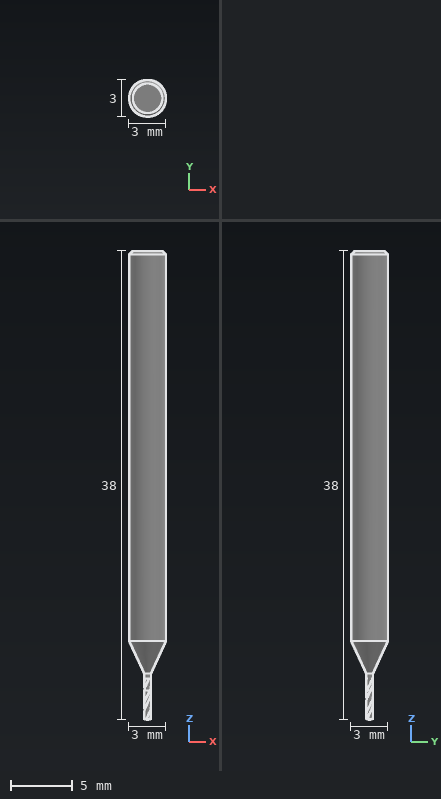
import cadquery as cq

full_turn = 360

total_length = 38.0
shank_diameter = 3.0
neck_diameter = 0.57

cutting_length = 2.4
cone_bottom = 3.75
cone_top = 6.4
flute_top = 3.35

point_height = 0.08

end_chamfer = 0.3

flute_count = 2
flute_pitch = 3.42
flute_start_angle = 93.0
flute_radius = 0.15
web_diameter = 0.25

shank_radius = shank_diameter / 2
neck_radius = neck_diameter / 2


def make_flute(start_angle):
    """Right-hand helical groove running up from the tip."""
    center_distance = web_diameter / 2 + flute_radius
    twist = full_turn * flute_top / flute_pitch
    return (
        cq.Workplane("XY")
        .moveTo(center_distance, 0)
        .circle(flute_radius)
        .twistExtrude(flute_top, twist)
        .rotate((0, 0, 0), (0, 0, 1), start_angle)
    )


def cut_flutes(body):
    """Cut every flute, evenly spaced round the axis."""
    for index in range(flute_count):
        start_angle = flute_start_angle + index * full_turn / flute_count
        body = body.cut(make_flute(start_angle))
    return body


def make_cutting_head():
    """Fluted cylinder with a shallow conical point that does the cutting."""
    blank = (
        cq.Workplane("XZ")
        .moveTo(0, 0)
        .lineTo(neck_radius, point_height)
        .lineTo(neck_radius, cutting_length)
        .lineTo(0, cutting_length)
        .close()
        .revolve(full_turn, (0, 0, 0), (0, 1, 0))
    )
    return cut_flutes(blank)


def make_shank():
    """Turned shank with a tapered neck that carries the upper ends of the flutes."""
    blank = (
        cq.Workplane("XZ")
        .moveTo(0, cutting_length)
        .lineTo(neck_radius, cutting_length)
        .lineTo(neck_radius, cone_bottom)
        .lineTo(shank_radius, cone_top)
        .lineTo(shank_radius, total_length - end_chamfer)
        .lineTo(shank_radius - end_chamfer, total_length)
        .lineTo(0, total_length)
        .close()
        .revolve(full_turn, (0, 0, 0), (0, 1, 0))
    )
    return cut_flutes(blank)


cutting_head = make_cutting_head()
shank = make_shank()

result = cq.Compound.makeCompound([cutting_head.val(), shank.val()])